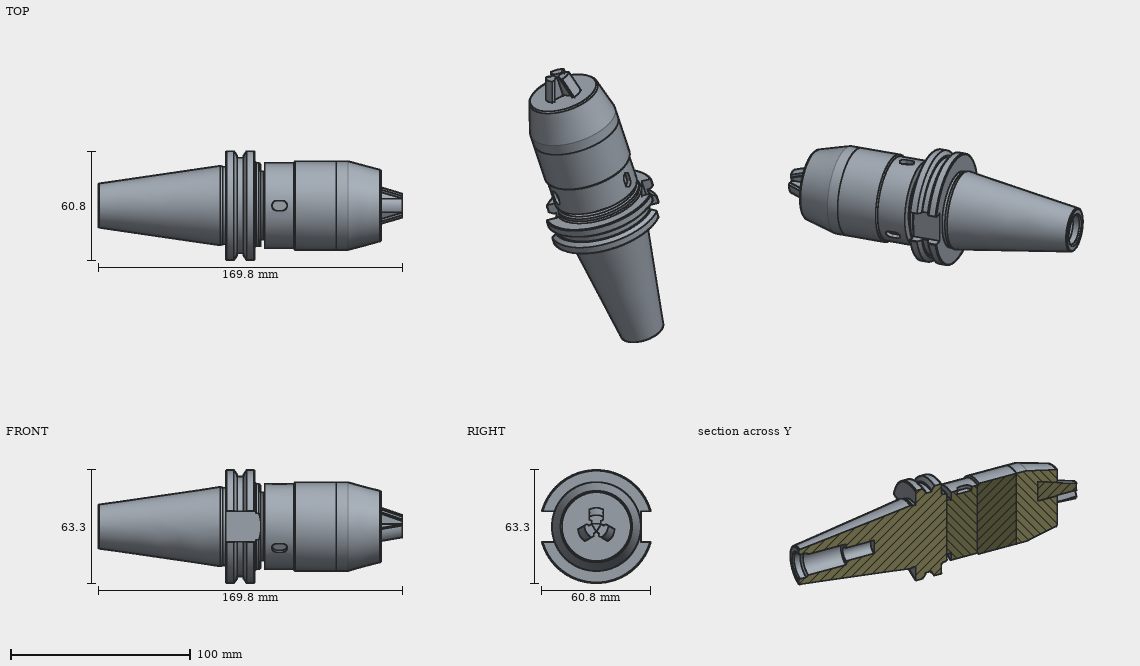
import cadquery as cq
import math


FIRST_ANGLE = 90

TAPER_LENGTH = 68.0
TAPER_END_RADIUS = 22.2
TAPER_RATIO = 7 / 24
TAPER_CHAMFER = 0.5
UNDERCUT_RADIUS = 21.7
UNDERCUT_CONE_LENGTH = 1.5
FLANGE_START = 71.3
FLANGE_END = 87.3
FLANGE_DIAMETER = 63.3
FLANGE_RADIUS = FLANGE_DIAMETER / 2
FLANGE_CHAMFER = 0.5

GROOVE_CENTER = 79.3
GROOVE_TOP_WIDTH = 7.1
GROOVE_FLOOR_WIDTH = 3.5
GROOVE_SHOULDER_RADIUS = 29.0
GROOVE_FLOOR_RADIUS = 28.0

HUB_END = 90.7
HUB_RADIUS = 24.0
HUB_CHAMFER = 1.0
HUB_CONE_SIZE = 0.8

SLOT_WIDTH = 17.0
SLOT_FLARE = 0.42
FRONT_SLOT_FLOOR = 22.8
BACK_SLOT_FLOOR = 25.0

BORE_MOUTH_RADIUS = 9.2
LEAD_IN_RADIUS = 8.3
LEAD_IN_DEPTH = 4.5
BORE_RADIUS = 7.1
BORE_DEPTH = 28.9
COOLANT_HOLE_RADIUS = 4.4
COOLANT_HOLE_DEPTH = 45.8

NECK_RADIUS = 19.2
NECK_CHAMFER = 0.7
COLLAR_START = 92.9
COLLAR_END = 109.2
COLLAR_RADIUS = 24.0
KEY_SLOT_COUNT = 3
KEY_SLOT_X = 101.2
KEY_SLOT_LENGTH = 8.5
KEY_SLOT_WIDTH = 5.6
KEY_SLOT_DEPTH = 2.5

SLEEVE_DIAMETER = 49.7
SLEEVE_RADIUS = SLEEVE_DIAMETER / 2
SLEEVE_CHAMFER = 0.8
SLEEVE_END = 133.0
NOSE_CONE_START = 139.2
NOSE_END = 158.0
NOSE_FRONT_RADIUS = 20.0
NOSE_CHAMFER = 0.8

JAW_COUNT = 3
JAW_TIP_X = 169.8
JAW_INSERT_DEPTH = 11.9
JAW_TILT = 19
JAW_WIDTH = 7.6
JAW_BACK_RADIUS = 8.5
JAW_TIP_RIDGE = 6.5
JAW_SIDE_DEPTH = 2.4
JAW_STEP_DEPTH = 0.8
JAW_BLADE_WIDTH = 5.1
JAW_GRIP_OFFSET = 1.5


def revolve_about_x(points):
    """Turn a closed (x, radius) outline into a solid about the X axis."""
    return cq.Workplane("XY").polyline(points).close().revolve(360, (0, 0, 0), (1, 0, 0))


def angles_around(count):
    return [FIRST_ANGLE + i * 360 / count for i in range(count)]


def around_axis(feature, angle):
    """Move a feature built on the +Z side to the given angle about the X axis."""
    return feature.rotate((0, 0, 0), (1, 0, 0), angle - 90)


def drive_slot_cutter(side, floor):
    """Cutter for one drive slot; side is +1 for +Y and -1 for -Y."""
    half = SLOT_WIDTH / 2
    outer = FLANGE_RADIUS + 1.7
    flare_start = math.sqrt(FLANGE_RADIUS**2 - half**2) - SLOT_FLARE
    flared_half = half + outer - flare_start
    upper = [(floor, half), (flare_start, half), (outer, flared_half)]
    lower = [(y, -z) for y, z in reversed(upper)]
    outline = [(side * y, z) for y, z in upper + lower]
    return (
        cq.Workplane("YZ", origin=(FLANGE_START, 0, 0))
        .polyline(outline)
        .close()
        .extrude(HUB_END - FLANGE_START)
    )


def make_shank():
    taper_start_radius = TAPER_END_RADIUS - TAPER_LENGTH * TAPER_RATIO / 2
    groove_top = GROOVE_TOP_WIDTH / 2
    groove_floor = GROOVE_FLOOR_WIDTH / 2
    body = revolve_about_x([
        (0, 0),
        (0, taper_start_radius - TAPER_CHAMFER),
        (TAPER_CHAMFER, taper_start_radius + TAPER_CHAMFER * TAPER_RATIO / 2),
        (TAPER_LENGTH, TAPER_END_RADIUS),
        (TAPER_LENGTH + UNDERCUT_CONE_LENGTH, UNDERCUT_RADIUS),
        (FLANGE_START, UNDERCUT_RADIUS),
        (FLANGE_START, FLANGE_RADIUS - FLANGE_CHAMFER),
        (FLANGE_START + FLANGE_CHAMFER, FLANGE_RADIUS),
        (GROOVE_CENTER - groove_top, FLANGE_RADIUS),
        (GROOVE_CENTER - groove_floor, GROOVE_SHOULDER_RADIUS),
        (GROOVE_CENTER - groove_floor, GROOVE_FLOOR_RADIUS),
        (GROOVE_CENTER + groove_floor, GROOVE_FLOOR_RADIUS),
        (GROOVE_CENTER + groove_floor, GROOVE_SHOULDER_RADIUS),
        (GROOVE_CENTER + groove_top, FLANGE_RADIUS),
        (FLANGE_END - FLANGE_CHAMFER, FLANGE_RADIUS),
        (FLANGE_END, FLANGE_RADIUS - FLANGE_CHAMFER),
        (FLANGE_END, HUB_RADIUS + HUB_CONE_SIZE),
        (FLANGE_END + HUB_CONE_SIZE, HUB_RADIUS),
        (HUB_END - HUB_CHAMFER, HUB_RADIUS),
        (HUB_END, HUB_RADIUS - HUB_CHAMFER),
        (HUB_END, 0),
    ])
    mouth_chamfer = BORE_MOUTH_RADIUS - LEAD_IN_RADIUS
    lead_in_step = LEAD_IN_RADIUS - BORE_RADIUS
    bore = revolve_about_x([
        (0, 0),
        (0, BORE_MOUTH_RADIUS),
        (mouth_chamfer, LEAD_IN_RADIUS),
        (LEAD_IN_DEPTH, LEAD_IN_RADIUS),
        (LEAD_IN_DEPTH + lead_in_step, BORE_RADIUS),
        (BORE_DEPTH, BORE_RADIUS),
        (BORE_DEPTH, COOLANT_HOLE_RADIUS),
        (COOLANT_HOLE_DEPTH, COOLANT_HOLE_RADIUS),
        (COOLANT_HOLE_DEPTH, 0),
    ])
    front_slot = drive_slot_cutter(-1, FRONT_SLOT_FLOOR)
    back_slot = drive_slot_cutter(1, BACK_SLOT_FLOOR)
    return body.cut(bore).cut(front_slot).cut(back_slot)


def make_collar():
    collar = revolve_about_x([
        (HUB_END, 0),
        (HUB_END, NECK_RADIUS),
        (COLLAR_START - NECK_CHAMFER, NECK_RADIUS),
        (COLLAR_START, NECK_RADIUS - NECK_CHAMFER),
        (COLLAR_START, COLLAR_RADIUS),
        (COLLAR_END, COLLAR_RADIUS),
        (COLLAR_END, 0),
    ])
    key_slot = (
        cq.Workplane("XY", origin=(KEY_SLOT_X, 0, COLLAR_RADIUS - KEY_SLOT_DEPTH))
        .slot2D(KEY_SLOT_LENGTH, KEY_SLOT_WIDTH)
        .extrude(2 * KEY_SLOT_DEPTH)
    )
    for angle in angles_around(KEY_SLOT_COUNT):
        collar = collar.cut(around_axis(key_slot, angle))
    return collar


def make_sleeve():
    return revolve_about_x([
        (COLLAR_END, 0),
        (COLLAR_END, SLEEVE_RADIUS - SLEEVE_CHAMFER),
        (COLLAR_END + SLEEVE_CHAMFER, SLEEVE_RADIUS),
        (SLEEVE_END, SLEEVE_RADIUS),
        (SLEEVE_END, 0),
    ])


def make_jaw(angle):
    """Tilted bar with a rounded back, stepped down to a blade that grips near the axis."""
    start_x = NOSE_END - JAW_INSERT_DEPTH
    length = JAW_TIP_X - start_x
    half_width = JAW_WIDTH / 2
    half_blade = JAW_BLADE_WIDTH / 2
    back_edge = math.sqrt(JAW_BACK_RADIUS**2 - half_width**2) - JAW_BACK_RADIUS
    step_top = -JAW_SIDE_DEPTH
    step_bottom = step_top - JAW_STEP_DEPTH
    blade_bottom = -length
    bar = (
        cq.Workplane("YZ", origin=(-2 * length, 0, 0))
        .moveTo(-half_width, back_edge)
        .threePointArc((0, 0), (half_width, back_edge))
        .lineTo(half_width, step_top)
        .lineTo(half_blade, step_bottom)
        .lineTo(half_blade, blade_bottom)
        .lineTo(-half_blade, blade_bottom)
        .lineTo(-half_blade, step_bottom)
        .lineTo(-half_width, step_top)
        .close()
        .extrude(3 * length)
        .rotate((0, 0, 0), (0, 1, 0), JAW_TILT)
        .translate((JAW_TIP_X, 0, JAW_TIP_RIDGE))
    )
    envelope = cq.Workplane("XY", origin=(start_x, 0, JAW_GRIP_OFFSET)).box(
        length, JAW_WIDTH, SLEEVE_RADIUS, centered=(False, True, False)
    )
    return around_axis(bar.intersect(envelope), angle)


def make_nose(jaws):
    nose = revolve_about_x([
        (SLEEVE_END, 0),
        (SLEEVE_END, SLEEVE_RADIUS),
        (NOSE_CONE_START, SLEEVE_RADIUS),
        (NOSE_END - NOSE_CHAMFER, NOSE_FRONT_RADIUS),
        (NOSE_END, NOSE_FRONT_RADIUS - NOSE_CHAMFER),
        (NOSE_END, 0),
    ])
    for jaw in jaws:
        nose = nose.cut(jaw)
    return nose


shank = make_shank()
collar = make_collar()
sleeve = make_sleeve()
jaws = [make_jaw(angle) for angle in angles_around(JAW_COUNT)]
nose = make_nose(jaws)

bodies = [shank, collar, sleeve, nose, *jaws]
result = cq.Compound.makeCompound([body.solids().val() for body in bodies])